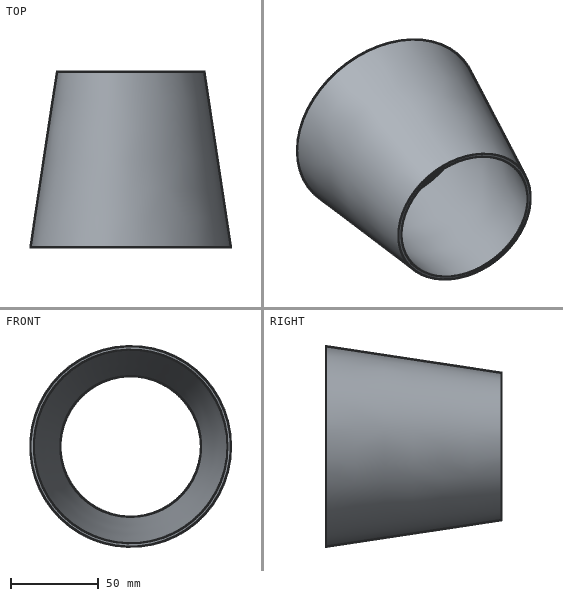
import math

import cadquery as cq

large_outer_diameter = 114.3
small_outer_diameter = 84.0
wall_thickness = 2.0
length = 100.0

large_outer_radius = large_outer_diameter / 2
small_outer_radius = small_outer_diameter / 2

half_angle = math.atan((large_outer_radius - small_outer_radius) / length)
end_face_width = wall_thickness / math.cos(half_angle)
large_inner_radius = large_outer_radius - end_face_width
small_inner_radius = small_outer_radius - end_face_width


def reducer_shell():
    """Revolve the sloping wall section around Y, large end at y = 0."""
    wall_section = (
        cq.Workplane("XY")
        .moveTo(large_inner_radius, 0)
        .lineTo(large_outer_radius, 0)
        .lineTo(small_outer_radius, length)
        .lineTo(small_inner_radius, length)
        .close()
    )
    return wall_section.revolve(360, (0, 0, 0), (0, 1, 0))


result = reducer_shell()